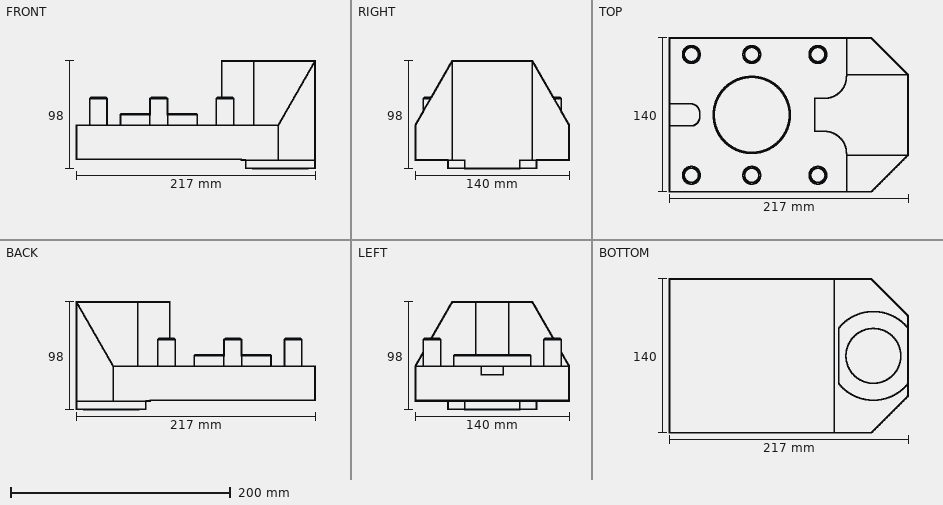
import cadquery as cq

length = 217.0
width = 140.0
height = 98.0

boss_bottom = 0.5
pad_bottom = 7.8
base_bottom = 8.7
base_top = 39.7
disc_top = 50.0
pin_top = 65.0

corner_cut = 33.5
pad_start = 150.0
slot_length = 27.5
slot_width = 20.2
slot_depth = 7.8
slot_corner_radius = 8.2

pin_diameter = 16.0
pin_chamfer = 1.5
pin_columns = (20.0, 74.9, 135.0)
pin_row_offset = 55.0
disc_x = pin_columns[1]
disc_diameter = 70.0
disc_chamfer = 0.9

tower_face = 161.0
tongue_face = 132.0
tongue_half_width = 15.0
tower_top_half_width = width / 2 - corner_cut
cove_radius = 20.0

boss_diameter = 80.7
boss_length = 63.1
boss_x = length - boss_length / 2
spigot_diameter = 50.0


def box(x_start, x_end, y_size, z_start, z_end):
    """Block centred on the XZ plane."""
    block = cq.Workplane("XY").box(x_end - x_start, y_size, z_end - z_start, centered=(False, True, False))
    return block.translate((x_start, 0, z_start))


def cylinder(x, y, diameter, z_start, z_end):
    """Vertical cylinder."""
    circle = cq.Workplane("XY", origin=(x, y, z_start)).circle(diameter / 2)
    return circle.extrude(z_end - z_start)


def make_tower():
    """Tower with sloping sides and a tongue joined to its face by two coves."""
    half_width = width / 2
    wedge = (
        cq.Workplane("YZ", origin=(tower_face, 0, 0))
        .moveTo(-half_width, base_top)
        .lineTo(half_width, base_top)
        .lineTo(tower_top_half_width, height)
        .lineTo(-tower_top_half_width, height)
        .close()
        .extrude(length - tower_face)
    )
    cove_end = tongue_half_width + cove_radius
    tongue = box(tongue_face, tower_face, 2 * cove_end, base_top, height)
    for side in (-1, 1):
        cove_x = tower_face - cove_radius
        tongue = tongue.cut(cylinder(cove_x, side * cove_end, 2 * cove_radius, base_top, height))
        shoulder = box(tongue_face, cove_x, cove_radius, base_top, height)
        shoulder = shoulder.translate((0, side * (cove_end - cove_radius / 2), 0))
        tongue = tongue.cut(shoulder)
    return wedge.union(tongue)


def make_slot():
    """Rounded-end slot open at the left end of the base."""
    slot = box(0, slot_length, slot_width, base_top - slot_depth, base_top)
    return slot.edges("|Z and >X").fillet(slot_corner_radius)


def make_lower_boss():
    """Round boss with two flats across X and a shallow spigot below it."""
    boss = cylinder(boss_x, 0, boss_diameter, boss_bottom, pad_bottom)
    boss = boss.intersect(box(length - boss_length, length, boss_diameter, boss_bottom, pad_bottom))
    return boss.union(cylinder(boss_x, 0, spigot_diameter, 0, boss_bottom))


body = box(0, length, width, base_bottom, base_top)
body = body.union(box(pad_start, length, width, pad_bottom, base_bottom))
body = body.union(make_tower())
for side in (-1, 1):
    corner = (
        cq.Workplane("XY")
        .moveTo(length, side * width / 2)
        .lineTo(length - corner_cut, side * width / 2)
        .lineTo(length, side * tower_top_half_width)
        .close()
        .extrude(height)
    )
    body = body.cut(corner)

body = body.cut(make_slot())

disc = cylinder(disc_x, 0, disc_diameter, base_top, disc_top)
body = body.union(disc.faces(">Z").chamfer(disc_chamfer))

for pin_x in pin_columns:
    for side in (-1, 1):
        pin = cylinder(pin_x, side * pin_row_offset, pin_diameter, base_top, pin_top)
        body = body.union(pin.faces(">Z").chamfer(pin_chamfer))

result = body.union(make_lower_boss())